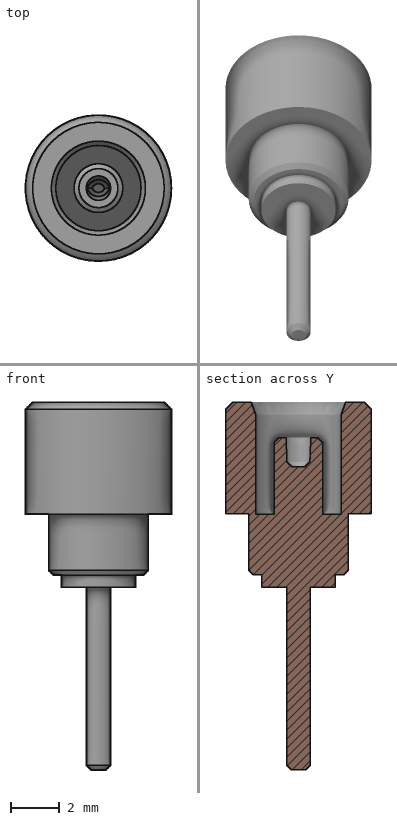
import cadquery as cq

TOTAL_HEIGHT = 15.1
HEAD_LENGTH = 4.6
NECK_LENGTH = 2.5
COLLAR_LENGTH = 0.5

HEAD_DIAMETER = 6.0
HEAD_CHAMFER = 0.3
NECK_DIAMETER = 4.1
NECK_CHAMFER = 0.2
COLLAR_DIAMETER = 3.05
TAIL_DIAMETER = 1.0
TAIL_CHAMFER = 0.2

MOUTH_DIAMETER = 3.86
CAVITY_DIAMETER = 3.5
MOUTH_DEPTH = 0.5
CAVITY_DEPTH = HEAD_LENGTH

CONTACT_DIAMETER = 2.0
CONTACT_CHAMFER = 0.2
CONTACT_TOP = -1.45

SOCKET_DIAMETER = 1.0
WALL_DEPTH = 1.0
WALL_FOOT_DIAMETER = 0.96
WALL_FOOT_OFFSET = 0.14
CONE_DEPTH = 0.2
FLOOR_DIAMETER = 0.54
FLOOR_OFFSET = 0.09


def cylinder(diameter, top, length):
    """Vertical cylinder on the Z axis that hangs down from the height top."""
    return cq.Workplane("XY").workplane(offset=top).circle(diameter / 2).extrude(-length)


def outer_body():
    neck_top = -HEAD_LENGTH
    collar_top = neck_top - NECK_LENGTH
    tail_top = collar_top - COLLAR_LENGTH
    head = cylinder(HEAD_DIAMETER, 0, HEAD_LENGTH).faces(">Z").chamfer(HEAD_CHAMFER)
    neck = cylinder(NECK_DIAMETER, neck_top, NECK_LENGTH).faces("<Z").chamfer(NECK_CHAMFER)
    collar = cylinder(COLLAR_DIAMETER, collar_top, COLLAR_LENGTH)
    tail = cylinder(TAIL_DIAMETER, tail_top, TOTAL_HEIGHT + tail_top).faces("<Z").chamfer(TAIL_CHAMFER)
    return head.union(neck).union(collar).union(tail)


def cavity():
    mouth = (
        cq.Workplane("XY")
        .circle(MOUTH_DIAMETER / 2)
        .workplane(offset=-MOUTH_DEPTH)
        .circle(CAVITY_DIAMETER / 2)
        .loft()
    )
    return mouth.union(cylinder(CAVITY_DIAMETER, -MOUTH_DEPTH, CAVITY_DEPTH - MOUTH_DEPTH))


def leaning_cone(top, depth, top_diameter, top_shift, foot_diameter, foot_shift):
    """Cone frustum whose top and foot circles are each shifted along Y."""
    return (
        cq.Workplane("XY", origin=(0, 0, top))
        .center(0, top_shift)
        .circle(top_diameter / 2)
        .workplane(offset=-depth)
        .center(0, foot_shift - top_shift)
        .circle(foot_diameter / 2)
        .loft()
    )


def half_socket(side):
    """Half of the socket, kept on one side of the XZ plane; side is +1 or -1 along Y."""
    wall_shift = -side * WALL_FOOT_OFFSET
    floor_shift = -side * FLOOR_OFFSET
    wall = leaning_cone(CONTACT_TOP, WALL_DEPTH, SOCKET_DIAMETER, 0, WALL_FOOT_DIAMETER, wall_shift)
    cone = leaning_cone(
        CONTACT_TOP - WALL_DEPTH, CONE_DEPTH, WALL_FOOT_DIAMETER, wall_shift, FLOOR_DIAMETER, floor_shift
    )
    keep = (
        cq.Workplane("XY", origin=(0, side * SOCKET_DIAMETER / 2, CONTACT_TOP))
        .rect(2 * SOCKET_DIAMETER, SOCKET_DIAMETER)
        .extrude(-WALL_DEPTH - CONE_DEPTH)
    )
    return wall.union(cone).intersect(keep)


def contact():
    post = cylinder(CONTACT_DIAMETER, CONTACT_TOP, CAVITY_DEPTH + CONTACT_TOP)
    post = post.faces(">Z").chamfer(CONTACT_CHAMFER)
    for side in (1, -1):
        post = post.cut(half_socket(side))
    return post


result = outer_body().cut(cavity()).union(contact())